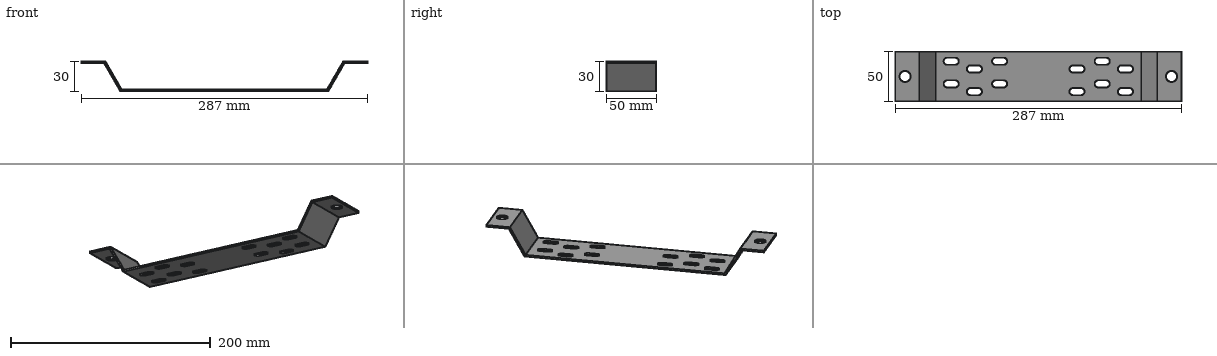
import cadquery as cq
import math

length = 287.0
width = 50.0
height = 30.0
thickness = 2.0

flange_length = 24.5
wall_angle = math.radians(60)
flange_hole_diameter = 11.0
flange_hole_x = 133.5

slot_length = 15.0
slot_width = 7.0
inner_column_x = 38.7
middle_column_x = 64.0
outer_column_x = 87.2
far_row_y = 15.2
near_row_y = 7.5


def make_bent_strip():
    """Constant-thickness profile with sharp mitred bends, extruded over the width."""
    half_length = length / 2
    flange_bend_x = half_length - flange_length
    mitre_shift = thickness * math.tan(wall_angle / 2)
    wall_run = (height - thickness) / math.tan(wall_angle)
    base_bend_x = flange_bend_x - wall_run

    right_upper = [
        (base_bend_x, thickness),
        (flange_bend_x, height),
        (half_length, height),
    ]
    right_lower = [
        (half_length, height - thickness),
        (flange_bend_x + mitre_shift, height - thickness),
        (base_bend_x + mitre_shift, 0),
    ]
    right_side = right_upper + right_lower
    left_side = [(-x, z) for x, z in reversed(right_side)]
    return (
        cq.Workplane("XZ")
        .polyline(right_side + left_side)
        .close()
        .extrude(width / 2, both=True)
    )


def make_flange_holes():
    return (
        cq.Workplane("XY")
        .pushPoints([(-flange_hole_x, 0), (flange_hole_x, 0)])
        .circle(flange_hole_diameter / 2)
        .extrude(height)
    )


def make_base_slots():
    """The right-hand slots are the left-hand ones turned half a turn about Z."""
    left_centres = []
    for column_x in (inner_column_x, outer_column_x):
        left_centres += [(-column_x, far_row_y), (-column_x, -near_row_y)]
    left_centres += [(-middle_column_x, near_row_y), (-middle_column_x, -far_row_y)]
    right_centres = [(-x, -y) for x, y in left_centres]
    return (
        cq.Workplane("XY")
        .pushPoints(left_centres + right_centres)
        .slot2D(slot_length, slot_width)
        .extrude(thickness)
    )


result = make_bent_strip().cut(make_flange_holes()).cut(make_base_slots())